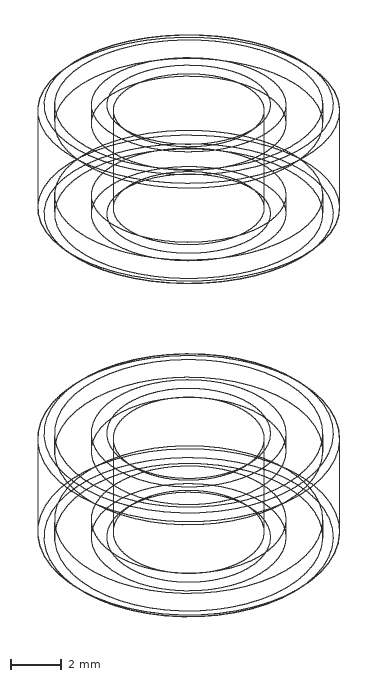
import cadquery as cq

outer_diameter = 12.0
width = 4.95
bore_diameter = outer_diameter / 2
outer_ring_inner_diameter = 10.65
inner_ring_outer_diameter = 7.74
recess_depth = 0.84
edge_chamfer = 0.25


def make_ring(outside, inside, height):
    """Plain ring centred on the origin."""
    return (
        cq.Workplane("XY", origin=(0, 0, -height / 2))
        .circle(outside / 2)
        .circle(inside / 2)
        .extrude(height)
    )


body = make_ring(outer_diameter, bore_diameter, width)
body = body.faces("|Z").edges().chamfer(edge_chamfer)

recess = make_ring(outer_ring_inner_diameter, inner_ring_outer_diameter, recess_depth)
recess_offset = (width - recess_depth) / 2
for side in (1, -1):
    body = body.cut(recess.translate((0, 0, side * recess_offset)))

result = body